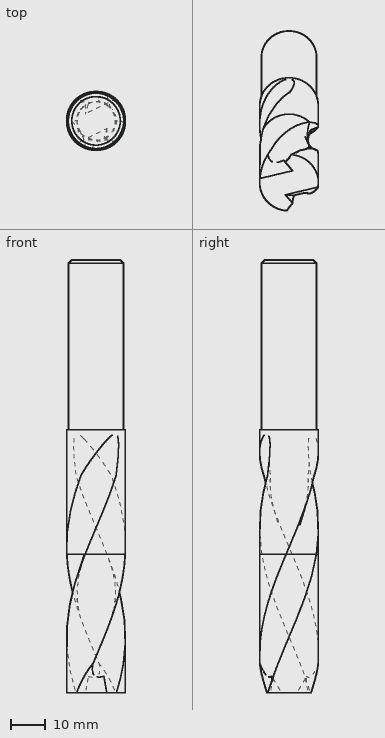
import math

import cadquery as cq

total_length = 125.0
body_diameter = 17.0
body_top = 76.0
shank_diameter = 16.0
shank_chamfer = 1.0
cutter_length = 40.0

flute_count = 2
flute_pitch = 126.0
helix_top = 62.8

flute_radius = 10.8
core_radius = 5.5
flute_bearing = 6.9
flute_offset = core_radius + flute_radius

runout_length = 12.0
runout_sections = 6

gash_outer = (-5.6, -6.4)
gash_inner = (3.1, -2.1)
gash_lean = 25.0
gash_side_lean = 23.0
gash_height = 12.5
gash_width = 12.5


def flute_turn(height):
    """Angle in degrees that a flute has turned from the bottom to this height."""
    return 360.0 * height / flute_pitch


def flute_cutter():
    """Helical groove for the flute that faces -Y at the bottom."""
    groove = cq.Wire.makeCircle(flute_radius, cq.Vector(0, -flute_offset, 0), cq.Vector(0, 0, 1))
    axis_start = cq.Vector(0, 0, 0)
    axis_end = cq.Vector(0, 0, helix_top)
    helix = cq.Solid.extrudeLinearWithRotation(groove, [], axis_start, axis_end, flute_turn(helix_top))
    return cq.Workplane(helix).rotate((0, 0, 0), (0, 0, 1), flute_bearing)


def runout_cutter():
    """Groove that follows the helix on from its top and fades out at the surface."""
    full_lift = body_diameter / 2 - core_radius
    profiles = []
    for index in range(runout_sections):
        fraction = index / (runout_sections - 1)
        height = helix_top + fraction * runout_length
        center = cq.Vector(0, -flute_offset - fraction * full_lift, height)
        circle = cq.Wire.makeCircle(flute_radius, center, cq.Vector(0, 0, 1))
        turn = flute_bearing + flute_turn(height)
        profiles.append(circle.rotate(cq.Vector(0, 0, 0), cq.Vector(0, 0, 1), turn))
    return cq.Workplane(cq.Solid.makeLoft(profiles))


def gash_cutter():
    """Leaning block that leaves a flat and a side wall at the tip of a flute."""
    inner = cq.Vector(*gash_inner)
    along = (inner - cq.Vector(*gash_outer)).normalized()
    outward = cq.Vector(along.y, -along.x, 0)
    outer = cq.Vector(*gash_outer) - along * gash_width
    depth = cq.Vector(0, -gash_width, 0)
    corners = [inner, outer, outer + depth, inner + depth]
    lean_out = outward * math.tan(math.radians(gash_lean))
    lean_side = along * math.tan(math.radians(gash_side_lean))
    travel = (cq.Vector(0, 0, 1) + lean_out - lean_side) * gash_height
    profile = cq.Wire.makePolygon(corners, close=True)
    return cq.Workplane(cq.Solid.extrudeLinear(profile, [], travel))


def cut_around(blank, tool):
    """Cut the tool from the blank once for each flute."""
    for index in range(flute_count):
        turn = index * 360.0 / flute_count
        blank = blank.cut(tool.rotate((0, 0, 0), (0, 0, 1), turn))
    return blank


def make_cutter():
    """Fluted cutting end."""
    blank = cq.Workplane("XY").circle(body_diameter / 2).extrude(cutter_length)
    return cut_around(cut_around(blank, flute_cutter()), gash_cutter()).solids()


def make_shank():
    """Plain shank with the fluted neck that continues the cutting end."""
    neck = (
        cq.Workplane("XY", origin=(0, 0, cutter_length))
        .circle(body_diameter / 2)
        .extrude(body_top - cutter_length)
    )
    neck = cut_around(cut_around(neck, flute_cutter()), runout_cutter())
    handle = (
        cq.Workplane("XY", origin=(0, 0, body_top))
        .circle(shank_diameter / 2)
        .extrude(total_length - body_top)
        .faces(">Z")
        .chamfer(shank_chamfer)
    )
    return neck.union(handle).solids()


cutter = make_cutter()
shank = make_shank()
result = cq.Compound.makeCompound([cutter.val(), shank.val()])